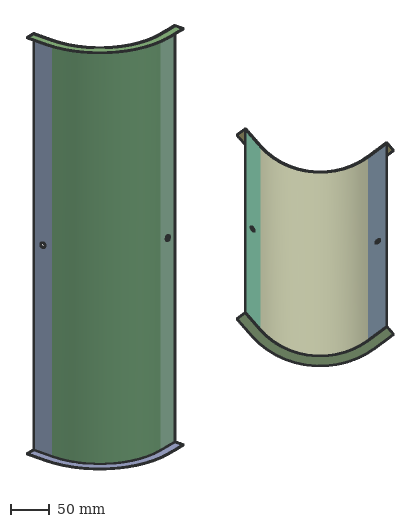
import cadquery as cq

height = 602.0
side = 143.0
sheet = 1.0
flange_width = 14.5
straight = 31.0
hole_diameter = 7.0
hole_inset = 15.0

arc_centre = straight
flange_radius = side - straight
inner_radius = flange_radius - flange_width
shell_radius = inner_radius + sheet
shell_face = arc_centre + shell_radius


def rounded_angle(start_radius, end_radius, depth):
    """Extrude an L-shaped band: two flat strips joined by a quarter round.

    The concave side faces -X and +Y; the free edges lie at X = 0 and Y = side.
    """
    centre_x = arc_centre
    centre_y = side - arc_centre
    diagonal = 0.5 ** 0.5

    def arc_middle(radius):
        return (centre_x + radius * diagonal, centre_y - radius * diagonal)

    return (
        cq.Workplane("XY")
        .moveTo(0, centre_y - end_radius)
        .lineTo(centre_x, centre_y - end_radius)
        .threePointArc(arc_middle(end_radius), (centre_x + end_radius, centre_y))
        .lineTo(centre_x + end_radius, side)
        .lineTo(centre_x + start_radius, side)
        .lineTo(centre_x + start_radius, centre_y)
        .threePointArc(arc_middle(start_radius), (centre_x, centre_y - start_radius))
        .lineTo(0, centre_y - start_radius)
        .close()
        .extrude(depth)
    )


shell = rounded_angle(inner_radius, shell_radius, height)
flange = rounded_angle(inner_radius, flange_radius, sheet)
body = shell.union(flange).union(flange.translate((0, 0, height - sheet)))

hole_depth = 2 * sheet
front_hole = cq.Solid.makeCylinder(
    hole_diameter / 2,
    hole_depth,
    cq.Vector(hole_inset, side - shell_face - sheet / 2, height / 2),
    cq.Vector(0, 1, 0),
)
side_hole = cq.Solid.makeCylinder(
    hole_diameter / 2,
    hole_depth,
    cq.Vector(shell_face + sheet / 2, side - hole_inset, height / 2),
    cq.Vector(-1, 0, 0),
)
result = body.cut(cq.Workplane(front_hole)).cut(cq.Workplane(side_hole))